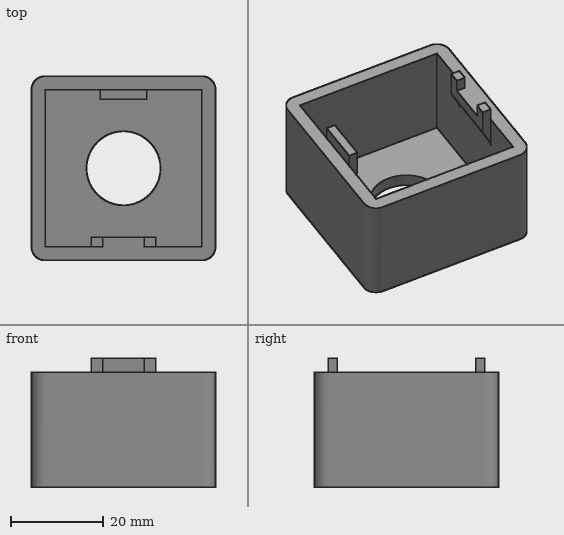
import cadquery as cq
import math

box_side = 40.0
box_height = 25.0
wall = 3.0
floor = 3.0
corner_radius = 3.0
hole_diameter = 16.0

tab_rise = 3.0
tab_thickness = 2.0
tab_drop = 3.0
taper_height = 4.0
root_radius = 3.0
back_tab_width = 10.0
front_tab_width = 14.0
prong_width = 2.5

cavity_side = box_side - 2 * wall
inner_face = cavity_side / 2
tab_top = box_height + tab_rise


def make_box():
    """Open-topped box with rounded vertical edges and a hole in the floor."""
    outer = cq.Workplane("XY").box(box_side, box_side, box_height, centered=(True, True, False))
    outer = outer.edges("|Z").fillet(corner_radius)
    cavity = (
        cq.Workplane("XY")
        .workplane(offset=floor)
        .rect(cavity_side, cavity_side)
        .extrude(box_height - floor)
    )
    hole = cq.Workplane("XY").circle(hole_diameter / 2).extrude(floor)
    return outer.cut(cavity).cut(hole)


def make_tab(width, side):
    """Tab on the wall at +Y (side = 1) or -Y (side = -1), with a tapered underside."""
    wall_y = side * inner_face
    tip_y = side * (inner_face - tab_thickness)
    taper_top = box_height - tab_drop
    slope_end = taper_top - taper_height
    slope_angle = math.atan2(tab_thickness, taper_height)
    tangent_length = root_radius * math.tan(slope_angle / 2)
    arc_center_y = wall_y - side * root_radius
    arc_end_z = slope_end - tangent_length

    def arc_point(angle):
        """Point on the blend arc, with angle 0 at the wall."""
        return (
            arc_center_y + side * root_radius * math.cos(angle),
            arc_end_z + root_radius * math.sin(angle),
        )

    return (
        cq.Workplane("YZ")
        .moveTo(wall_y, tab_top)
        .lineTo(tip_y, tab_top)
        .lineTo(tip_y, taper_top)
        .lineTo(*arc_point(slope_angle))
        .threePointArc(arc_point(slope_angle / 2), arc_point(0))
        .close()
        .extrude(width / 2, both=True)
    )


def make_front_tab():
    """Tab split into two prongs by a notch that reaches down to the rim."""
    notch_width = front_tab_width - 2 * prong_width
    notch = (
        cq.Workplane("XY")
        .workplane(offset=box_height)
        .center(0, -inner_face)
        .rect(notch_width, 2 * tab_thickness)
        .extrude(tab_rise)
    )
    return make_tab(front_tab_width, -1).cut(notch)


result = make_box().union(make_tab(back_tab_width, 1)).union(make_front_tab()).clean()